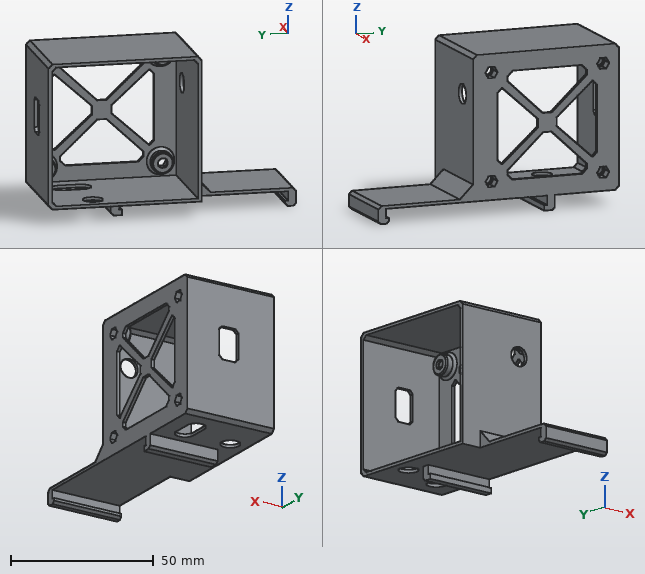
import cadquery as cq

total_length = 90.6
total_height = 57.7
box_width = 36.0
box_depth = 55.0
box_height = 52.4
side_wall = 1.4
thin_wall = 1.2
edge_chamfer = 1.45

tongue_reach = total_length - box_depth
tongue_start = 8.0
gusset_leg = 5.0
tongue_chamfer = 1.2
hook_drop = total_height - box_height
hook_thickness = 2.9
hook_tip_reach = 1.1
hook_tip_height = 2.0
hook_chamfer = 1.0
inner_hook_back = 30.8

boss_spacing_y = 42.0
boss_spacing_z = 39.0
boss_center_y = 28.0
boss_center_z = 26.2
boss_height = 3.8
boss_radius = 3.9
boss_tip_radius = 3.4
boss_tip_chamfer = 0.5
boss_foot_radius = 5.0
boss_foot_height = 1.0
boss_hole_radius = 1.7
boss_tip_thickness = 1.2
nut_corner_diameter = 4.5

window_half_y = 18.75
window_half_z = boss_spacing_z / 2
upper_window_half_width = 14.95
upper_window_end_z = 15.95
upper_window_chamfer = 1.9
side_window_half_height = 13.7
side_window_chamfer = 1.7
hub_half_y = 3.5
hub_half_z = 3.4
hub_flat_half_y = 1.6
hub_flat_half_z = 1.5

hole_radius = 3.5
front_hole_x = 25.8
front_hole_z = 36.6
floor_hole_x = 7.0
floor_hole_y = 37.5
slot_x = 25.8
slot_travel = 7.1
back_window_x = 18.75
back_window_z = 29.3
back_window_width = 8.0
back_window_height = 12.5
back_window_chamfer = 1.4

plate_inner_x = box_width - thin_wall


def chamfered_block(length, inset_y, inset_z):
    """Box block inset on all sides, its long edges chamfered but for the lower -Y one."""
    size_y = box_depth - 2 * inset_y
    size_z = box_height - 2 * inset_z
    block = cq.Workplane("XY").box(length, size_y, size_z, centered=False)
    block = block.edges("|X and (>Z or >Y)").chamfer(edge_chamfer)
    return block.translate((0, inset_y, inset_z))


def make_shell():
    outer = chamfered_block(box_width, 0, 0)
    return outer.cut(chamfered_block(plate_inner_x, side_wall, thin_wall))


def extrude_along_x(points, x_start):
    """Extrude a (Y, Z) outline from x_start to the +X face."""
    outline = cq.Workplane("YZ", origin=(x_start, 0, 0)).polyline(points).close()
    return outline.extrude(box_width - x_start)


def make_tongue():
    """Floor extension with its gusset and the hook at its free end."""
    end = -tongue_reach
    inner_face = end + hook_thickness
    tip = inner_face + hook_tip_reach
    return extrude_along_x(
        [
            (0, 0),
            (0, thin_wall + gusset_leg),
            (-gusset_leg, thin_wall),
            (end + tongue_chamfer, thin_wall),
            (end, thin_wall - tongue_chamfer),
            (end, hook_chamfer - hook_drop),
            (end + hook_chamfer, -hook_drop),
            (tip - hook_chamfer, -hook_drop),
            (tip, hook_chamfer - hook_drop),
            (tip, hook_tip_height - hook_drop),
            (inner_face, hook_tip_height - hook_drop),
            (inner_face, 0),
        ],
        tongue_start,
    )


def make_inner_hook():
    """Hook under the box floor, its tip pointing to -Y."""
    inner_face = inner_hook_back - hook_thickness
    tip = inner_face - hook_tip_reach
    return extrude_along_x(
        [
            (inner_hook_back, 0),
            (inner_hook_back, hook_chamfer - hook_drop),
            (inner_hook_back - hook_chamfer, -hook_drop),
            (tip, -hook_drop),
            (tip, hook_tip_height - hook_drop),
            (inner_face, hook_tip_height - hook_drop),
            (inner_face, 0),
        ],
        tongue_start,
    )


def boss_positions():
    return [
        (boss_center_y + side_y * boss_spacing_y / 2, boss_center_z + side_z * boss_spacing_z / 2)
        for side_y in (-1, 1)
        for side_z in (-1, 1)
    ]


def make_boss():
    """Boss revolved about X, with a conical foot and a chamfered tip."""
    profile = [
        (box_width, 0),
        (box_width, boss_foot_radius),
        (plate_inner_x, boss_foot_radius),
        (plate_inner_x - boss_foot_height, boss_radius),
        (plate_inner_x - boss_height + boss_tip_chamfer, boss_radius),
        (plate_inner_x - boss_height, boss_tip_radius),
        (plate_inner_x - boss_height, 0),
    ]
    return cq.Workplane("XY").polyline(profile).close().revolve(360, (0, 0, 0), (1, 0, 0))


def make_screw_hole():
    """Round hole through the boss tip, widened to a hexagonal nut pocket from the +X face."""
    hole = cq.Workplane("YZ").circle(boss_hole_radius).extrude(box_width)
    pocket_floor = plate_inner_x - boss_height + boss_tip_thickness
    pocket = cq.Workplane("YZ", origin=(pocket_floor, 0, 0)).polygon(6, nut_corner_diameter)
    return hole.union(pocket.extrude(box_width - pocket_floor))


def make_bracing_windows():
    """Four clipped triangles that leave an X-shaped brace in the end plate."""
    upper_half = [
        (upper_window_half_width - upper_window_chamfer, window_half_z),
        (upper_window_half_width, window_half_z - upper_window_chamfer),
        (upper_window_half_width, upper_window_end_z),
        (hub_flat_half_y, hub_half_z),
    ]
    side_half = [
        (window_half_y, side_window_half_height - side_window_chamfer),
        (window_half_y - side_window_chamfer, side_window_half_height),
        (hub_half_y, hub_flat_half_z),
    ]
    upper = upper_half + [(-y, z) for y, z in reversed(upper_half)]
    lower = [(y, -z) for y, z in upper]
    rear = side_half + [(y, -z) for y, z in reversed(side_half)]
    front = [(-y, z) for y, z in rear]
    windows = cq.Workplane("YZ", origin=(plate_inner_x, boss_center_y, boss_center_z))
    for outline in (upper, lower, rear, front):
        windows = windows.polyline(outline).close()
    return windows.extrude(thin_wall)


def make_front_hole():
    hole = cq.Workplane("XZ").center(front_hole_x, front_hole_z).circle(hole_radius)
    return hole.extrude(-side_wall)


def make_floor_openings():
    hole = cq.Workplane("XY").center(floor_hole_x, floor_hole_y).circle(hole_radius)
    slot = cq.Workplane("XY").center(slot_x, floor_hole_y + slot_travel / 2)
    slot = slot.slot2D(slot_travel + 2 * hole_radius, 2 * hole_radius, 90)
    return hole.extrude(thin_wall).union(slot.extrude(thin_wall))


def make_back_window():
    window = cq.Workplane("XY").box(back_window_width, side_wall, back_window_height)
    window = window.edges("|Y").chamfer(back_window_chamfer)
    return window.translate((back_window_x, box_depth - side_wall / 2, back_window_z))


result = make_shell().union(make_tongue()).union(make_inner_hook())
result = result.cut(make_bracing_windows())

boss = make_boss()
screw_hole = make_screw_hole()
for boss_y, boss_z in boss_positions():
    result = result.union(boss.translate((0, boss_y, boss_z)))
for boss_y, boss_z in boss_positions():
    result = result.cut(screw_hole.translate((0, boss_y, boss_z)))

result = result.cut(make_front_hole()).cut(make_floor_openings()).cut(make_back_window())